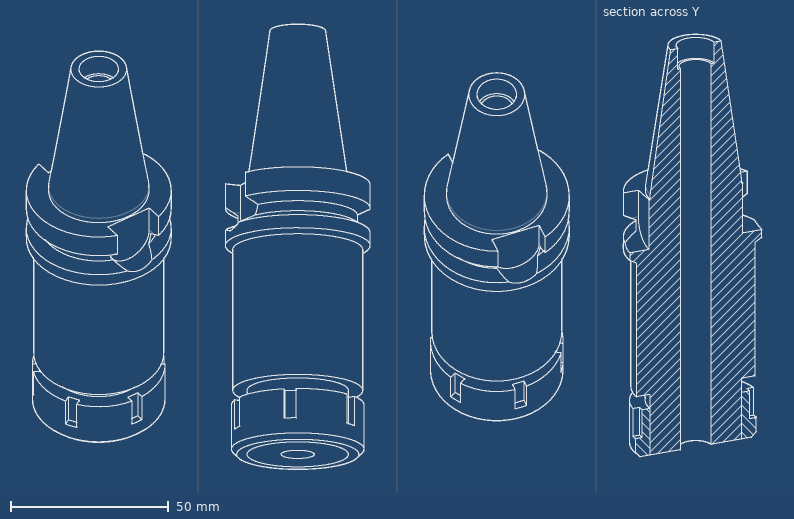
import cadquery as cq
import math

TOTAL_HEIGHT = 138.4
NUT_TOP_Z = 16.2
BARREL_BOTTOM_Z = 20.9
FLANGE_BOTTOM_Z = 68.2
GROOVE_LOWER_EDGE_Z = 72.5
GROOVE_UPPER_EDGE_Z = 80.4
FLANGE_TOP_Z = 88.2
TAPER_BOTTOM_Z = 90

FLANGE_RADIUS = 23.0
GROOVE_RADIUS = 19.0
BARREL_RADIUS = 20.6
NECK_RADIUS = 16.0
TAPER_LARGE_RADIUS = 15.9
TAPER_RATIO = 7 / 24
TAPER_LENGTH = TOTAL_HEIGHT - TAPER_BOTTOM_Z
TAPER_SMALL_RADIUS = TAPER_LARGE_RADIUS - TAPER_LENGTH * TAPER_RATIO / 2

FLANGE_SLOPE = math.tan(math.radians(30))
GROOVE_WALL_HEIGHT = (FLANGE_RADIUS - GROOVE_RADIUS) * FLANGE_SLOPE
GROOVE_FLOOR_BOTTOM_Z = GROOVE_LOWER_EDGE_Z + GROOVE_WALL_HEIGHT
GROOVE_FLOOR_TOP_Z = GROOVE_UPPER_EDGE_Z - GROOVE_WALL_HEIGHT
BARREL_TOP_Z = FLANGE_BOTTOM_Z - (FLANGE_RADIUS - BARREL_RADIUS) * FLANGE_SLOPE

BORE_RADIUS = 5.3
COUNTERBORE_RADIUS = 6.2
COUNTERBORE_DEPTH = 7.2

DRIVE_SLOT_WIDTH = 16.0
DRIVE_SLOT_END_RADIUS = DRIVE_SLOT_WIDTH / 2
DRIVE_SLOT_BOTTOM_Z = 71.0
DRIVE_SLOT_FLOOR_X = 16.3

NUT_RADIUS = 21.0
NUT_CHAMFER = 1.7
WRENCH_SLOT_COUNT = 6
WRENCH_SLOT_WIDTH = 3.9
WRENCH_SLOT_BOTTOM_Z = 6.6
WRENCH_SLOT_FLOOR_RADIUS = 18.7


def revolve_outline(points):
    """Turn an outline of (radius, height) points around the tool axis."""
    return cq.Workplane("XZ").polyline(points).close().revolve(360, (0, 0), (0, 1))


def drive_slot():
    """Cutter for the +X drive slot: open at the flange top, with a half-round lower end."""
    end_center_z = DRIVE_SLOT_BOTTOM_Z + DRIVE_SLOT_END_RADIUS
    return (
        cq.Workplane("YZ", origin=(DRIVE_SLOT_FLOOR_X, 0, 0))
        .moveTo(-DRIVE_SLOT_END_RADIUS, FLANGE_TOP_Z)
        .lineTo(-DRIVE_SLOT_END_RADIUS, end_center_z)
        .threePointArc((0, DRIVE_SLOT_BOTTOM_Z), (DRIVE_SLOT_END_RADIUS, end_center_z))
        .lineTo(DRIVE_SLOT_END_RADIUS, FLANGE_TOP_Z)
        .close()
        .extrude(FLANGE_RADIUS - DRIVE_SLOT_FLOOR_X)
    )


def make_holder():
    """Taper shank, grooved flange, barrel and the neck that carries the nut."""
    holder = revolve_outline([
        (0, 0),
        (NECK_RADIUS, 0),
        (NECK_RADIUS, BARREL_BOTTOM_Z),
        (BARREL_RADIUS, BARREL_BOTTOM_Z),
        (BARREL_RADIUS, BARREL_TOP_Z),
        (FLANGE_RADIUS, FLANGE_BOTTOM_Z),
        (FLANGE_RADIUS, GROOVE_LOWER_EDGE_Z),
        (GROOVE_RADIUS, GROOVE_FLOOR_BOTTOM_Z),
        (GROOVE_RADIUS, GROOVE_FLOOR_TOP_Z),
        (FLANGE_RADIUS, GROOVE_UPPER_EDGE_Z),
        (FLANGE_RADIUS, FLANGE_TOP_Z),
        (TAPER_LARGE_RADIUS, FLANGE_TOP_Z),
        (TAPER_LARGE_RADIUS, TAPER_BOTTOM_Z),
        (TAPER_SMALL_RADIUS, TOTAL_HEIGHT),
        (0, TOTAL_HEIGHT),
    ])
    holder = holder.faces(">Z").workplane().cboreHole(
        2 * BORE_RADIUS, 2 * COUNTERBORE_RADIUS, COUNTERBORE_DEPTH
    )
    for angle in (0, 180):
        holder = holder.cut(drive_slot().rotate((0, 0, 0), (0, 0, 1), angle))
    return holder


def wrench_slot():
    """Cutter for the +X wrench slot, open at the nut's top and outer wall."""
    return cq.Workplane("XY").box(
        NUT_RADIUS - WRENCH_SLOT_FLOOR_RADIUS,
        WRENCH_SLOT_WIDTH,
        NUT_TOP_Z - WRENCH_SLOT_BOTTOM_Z,
        centered=(False, True, False),
    ).translate((WRENCH_SLOT_FLOOR_RADIUS, 0, WRENCH_SLOT_BOTTOM_Z))


def make_nut():
    """Ring around the neck with a chamfered lower rim and evenly spaced wrench slots."""
    nut = revolve_outline([
        (NECK_RADIUS, 0),
        (NUT_RADIUS - NUT_CHAMFER, 0),
        (NUT_RADIUS, NUT_CHAMFER),
        (NUT_RADIUS, NUT_TOP_Z),
        (NECK_RADIUS, NUT_TOP_Z),
    ])
    for index in range(WRENCH_SLOT_COUNT):
        angle = index * 360 / WRENCH_SLOT_COUNT
        nut = nut.cut(wrench_slot().rotate((0, 0, 0), (0, 0, 1), angle))
    return nut


holder = make_holder()
nut = make_nut()
result = cq.Compound.makeCompound([holder.val(), nut.val()])